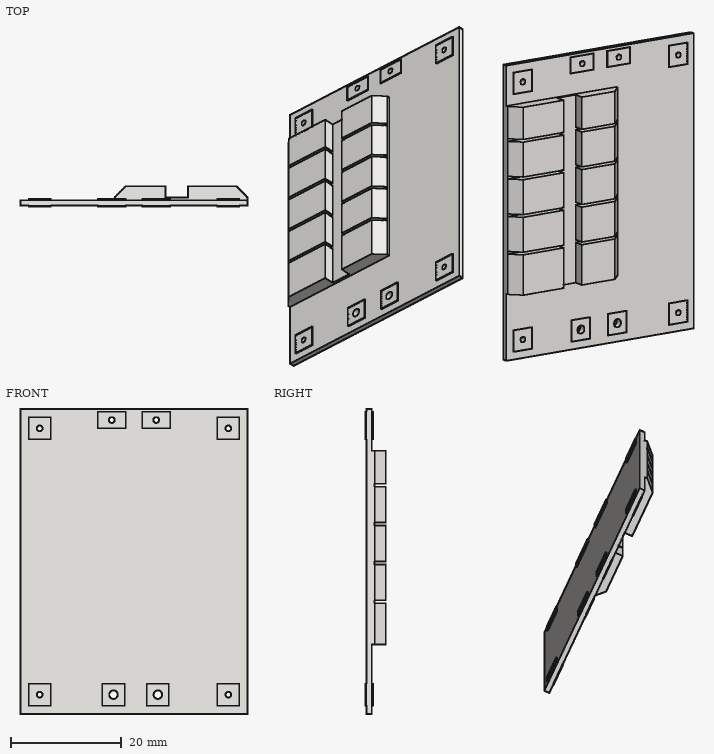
import cadquery as cq

BOARD_WIDTH = 41.0
BOARD_THICKNESS = 1.0
BOARD_HEIGHT = 55.0

PAD_THICKNESS = 0.2
SQUARE_PAD = 4.0
TOP_PAD_WIDTH = 5.0
TOP_PAD_HEIGHT = 3.0
SMALL_HOLE = 1.0
LARGE_HOLE = 1.5

CORNER_INSET = 3.5
TOP_PAD_INSET = 2.0
PAIR_SPACING = 8.0
TOP_PAIR_START = 16.5
BOTTOM_PAIR_START = 16.8

BLOCK_WIDTH = 24.0
BLOCK_LENGTH = 35.0
BLOCK_DEPTH = 2.5
BLOCK_BASE_DEPTH = 0.5
BLOCK_TOP_INSET = 7.5
CHANNEL_START = 26.2
CHANNEL_WIDTH = 4.0
GROOVE_WIDTH = 0.5
GROOVE_PITCH = 7.0
GROOVE_COUNT = 4
FIRST_GROOVE_OFFSET = 6.0

RIB_DEPTH = BLOCK_DEPTH - BLOCK_BASE_DEPTH
BLOCK_LEFT = BOARD_WIDTH - BLOCK_WIDTH
BLOCK_TOP = BOARD_HEIGHT - BLOCK_TOP_INSET
BLOCK_BOTTOM = BLOCK_TOP - BLOCK_LENGTH
BASE_BACK = BOARD_THICKNESS + BLOCK_BASE_DEPTH
BLOCK_BACK = BOARD_THICKNESS + BLOCK_DEPTH


def box(size, corner):
    """Box of the given size with its lowest corner at the given point."""
    return cq.Workplane("XY").box(*size, centered=False).translate(corner)


def hole_sites():
    """Centre x, centre z, pad width, pad height and hole diameter of each padded hole."""
    sites = []
    for x in (CORNER_INSET, BOARD_WIDTH - CORNER_INSET):
        for z in (CORNER_INSET, BOARD_HEIGHT - CORNER_INSET):
            sites.append((x, z, SQUARE_PAD, SQUARE_PAD, SMALL_HOLE))
    for offset in (0, PAIR_SPACING):
        top_z = BOARD_HEIGHT - TOP_PAD_INSET
        sites.append((TOP_PAIR_START + offset, top_z, TOP_PAD_WIDTH, TOP_PAD_HEIGHT, SMALL_HOLE))
        sites.append((BOTTOM_PAIR_START + offset, CORNER_INSET, SQUARE_PAD, SQUARE_PAD, LARGE_HOLE))
    return sites


def pad_pair(x, z, width, height):
    """Pads on both faces, joined through the board."""
    depth = BOARD_THICKNESS + 2 * PAD_THICKNESS
    return box((width, depth, height), (x - width / 2, -PAD_THICKNESS, z - height / 2))


def through_hole(x, z, diameter):
    """Cylinder along Y that passes through the board and both pads."""
    depth = BOARD_THICKNESS + 2 * PAD_THICKNESS
    axis_start = cq.Vector(x, -PAD_THICKNESS, z)
    return cq.Workplane(cq.Solid.makeCylinder(diameter / 2, depth, axis_start, cq.Vector(0, 1, 0)))


def grooved_block():
    """Block with 45 degree sides, a lengthwise channel and cross grooves down to its base."""
    block = (
        cq.Workplane("XY")
        .workplane(offset=BLOCK_BOTTOM)
        .moveTo(BLOCK_LEFT, BOARD_THICKNESS)
        .lineTo(BLOCK_LEFT, BASE_BACK)
        .lineTo(BLOCK_LEFT + RIB_DEPTH, BLOCK_BACK)
        .lineTo(BOARD_WIDTH - RIB_DEPTH, BLOCK_BACK)
        .lineTo(BOARD_WIDTH, BASE_BACK)
        .lineTo(BOARD_WIDTH, BOARD_THICKNESS)
        .close()
        .extrude(BLOCK_LENGTH)
    )
    block = block.cut(box((CHANNEL_WIDTH, RIB_DEPTH, BLOCK_LENGTH), (CHANNEL_START, BASE_BACK, BLOCK_BOTTOM)))
    for index in range(GROOVE_COUNT):
        groove_top = BLOCK_TOP - FIRST_GROOVE_OFFSET - index * GROOVE_PITCH
        groove_corner = (BLOCK_LEFT, BASE_BACK, groove_top - GROOVE_WIDTH)
        block = block.cut(box((BLOCK_WIDTH, RIB_DEPTH, GROOVE_WIDTH), groove_corner))
    return block


result = box((BOARD_WIDTH, BOARD_THICKNESS, BOARD_HEIGHT), (0, 0, 0)).union(grooved_block())
for site_x, site_z, pad_width, pad_height, hole_diameter in hole_sites():
    result = result.union(pad_pair(site_x, site_z, pad_width, pad_height))
    result = result.cut(through_hole(site_x, site_z, hole_diameter))